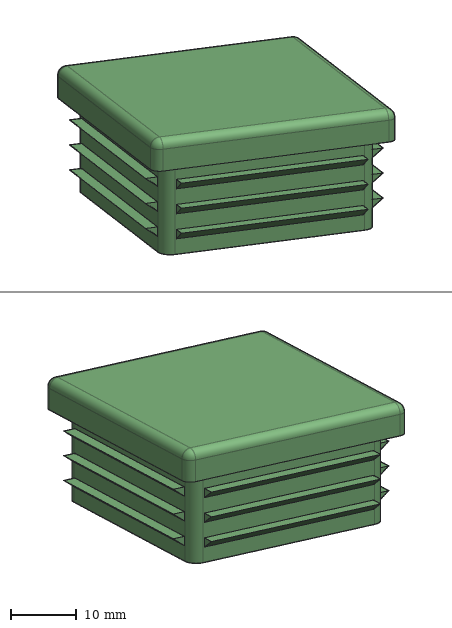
import cadquery as cq

body_width = 35.0
body_height = 14.5
body_corner_radius = 2.0

cap_width = 40.0
cap_height = 5.0
cap_rounding = 1.5

fin_length = 30.6
fin_reach = 2.0
fin_thickness = 1.5
fin_pitch = 4.0
fin_rows = 3
side_count = 4


def make_body():
    """Solid square plug with rounded upright corners."""
    body = cq.Workplane("XY").rect(body_width, body_width).extrude(body_height)
    return body.edges("|Z").fillet(body_corner_radius)


def make_cap():
    """Square plate with rounded upright corners and a rounded top edge."""
    base = cq.Workplane("XY").workplane(offset=body_height)
    cap = base.rect(cap_width, cap_width).extrude(cap_height)
    return cap.edges("|Z or >Z").fillet(cap_rounding)


def make_fin(top_z):
    """Fin on the +X side: flat on top, sloping back to the body underneath."""
    wall_x = body_width / 2
    bottom_z = top_z - fin_thickness
    profile = [
        (0, top_z),
        (wall_x + fin_reach, top_z),
        (wall_x, bottom_z),
        (0, bottom_z),
    ]
    return cq.Workplane("XZ").polyline(profile).close().extrude(fin_length / 2, both=True)


def add_fins(plug):
    """Add every row of fins to each side of the body."""
    for row in range(1, fin_rows + 1):
        fin = make_fin(row * fin_pitch)
        for side in range(side_count):
            angle = side * 360 / side_count
            plug = plug.union(fin.rotate((0, 0, 0), (0, 0, 1), angle))
    return plug


result = add_fins(make_cap().union(make_body()))